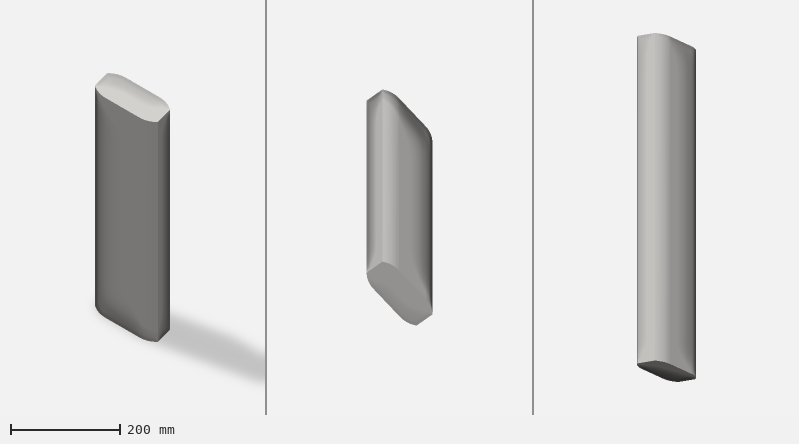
import cadquery as cq
import math

width = 145.0
thickness = 61.0
height = 625.0

face_flat = 77.5
side_flat = 37.5

corner_run = (width - face_flat) / 2
corner_drop = (thickness - side_flat) / 2
corner_radius = (corner_run**2 + corner_drop**2) / (2 * corner_drop)
half_sweep = math.asin(corner_run / corner_radius) / 2


def make_corner_cutter():
    """Prism removing everything outside the arc at the +X, +Y corner."""
    start = (face_flat / 2, thickness / 2)
    middle = (
        start[0] + corner_radius * math.sin(half_sweep),
        start[1] - corner_radius * (1 - math.cos(half_sweep)),
    )
    end = (width / 2, side_flat / 2)
    return (
        cq.Workplane("XY")
        .moveTo(*start)
        .threePointArc(middle, end)
        .lineTo(width / 2, thickness / 2)
        .close()
        .extrude(height)
    )


result = cq.Workplane("XY").box(width, thickness, height, centered=(True, True, False))
right_back = make_corner_cutter()
left_back = right_back.mirror("YZ")
for cutter in (right_back, left_back):
    result = result.cut(cutter).cut(cutter.mirror("XZ"))